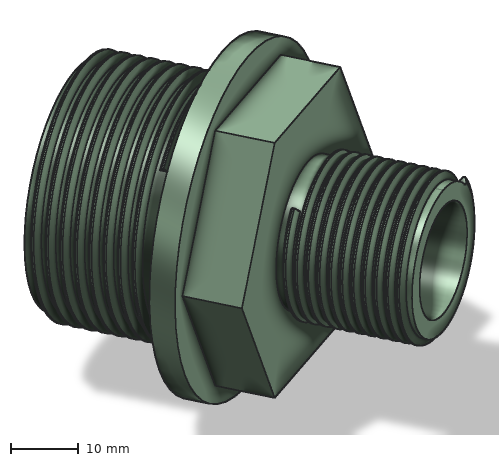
import cadquery as cq
import math

overall_length = 58.8
flange_start = 23.5
flange_end = 27.6
hex_end = 37.1

flange_diameter = 55.2
hex_across_flats = 43.0
large_bore_diameter = 32.0
small_bore_diameter = 18.0
large_bore_depth = flange_end

large_root_radius = 19.25
large_crest_radius = 20.55
large_pitch = 2.309
large_thread_start = 0.46
large_thread_turns = 8.5
large_thread_start_angle = -45.0

small_root_radius = 11.88
small_crest_radius = 13.05
small_pitch = 1.814
small_thread_start = 38.75
small_thread_turns = 10.75
small_thread_start_angle = 135.0

thread_flank_angle = 55.0
crest_half_width = 0.15
root_overlap = 0.15


def cylinder(radius, start, end):
    """Solid cylinder along X between two X positions, with its seam line facing +Z."""
    base = cq.Plane(origin=(start, 0, 0), xDir=(0, 0, 1), normal=(1, 0, 0))
    return cq.Workplane(base).circle(radius).extrude(end - start)


def hexagon():
    """Hexagonal wrench section with flats facing +Z and -Z and corners on Y."""
    corner_diameter = hex_across_flats / math.cos(math.pi / 6)
    base = cq.Workplane("YZ", origin=(flange_end, 0, 0))
    return base.polygon(6, corner_diameter).extrude(hex_end - flange_end)


def thread(root_radius, crest_radius, pitch, turns, start, start_angle):
    """Right-handed helical ridge along X; the start angle is measured from +Y towards +Z."""
    inner_radius = root_radius - root_overlap
    flank_run = (crest_radius - inner_radius) * math.tan(math.radians(thread_flank_angle / 2))
    base_half_width = crest_half_width + flank_run
    profile = [
        (inner_radius, -base_half_width),
        (crest_radius, -crest_half_width),
        (crest_radius, crest_half_width),
        (inner_radius, base_half_width),
    ]
    helix = cq.Workplane(cq.Wire.makeHelix(pitch, pitch * turns, root_radius))
    ridge = cq.Workplane("XZ").polyline(profile).close().sweep(helix, isFrenet=True)
    along_x = ridge.rotate((0, 0, 0), (1, 1, 1), 120)
    return along_x.rotate((0, 0, 0), (1, 0, 0), start_angle).translate((start, 0, 0))


large_thread = thread(
    large_root_radius, large_crest_radius, large_pitch,
    large_thread_turns, large_thread_start, large_thread_start_angle,
)
small_thread = thread(
    small_root_radius, small_crest_radius, small_pitch,
    small_thread_turns, small_thread_start, small_thread_start_angle,
)

large_thread = large_thread.intersect(cylinder(flange_diameter / 2, 0, flange_start))
small_thread = small_thread.intersect(cylinder(flange_diameter / 2, hex_end, overall_length))

body = cylinder(large_root_radius, 0, flange_start)
body = body.union(cylinder(flange_diameter / 2, flange_start, flange_end))
body = body.union(hexagon())
body = body.union(cylinder(small_root_radius, hex_end, overall_length))
body = body.union(large_thread).union(small_thread)

body = body.cut(cylinder(large_bore_diameter / 2, 0, large_bore_depth))
result = body.cut(cylinder(small_bore_diameter / 2, 0, overall_length))